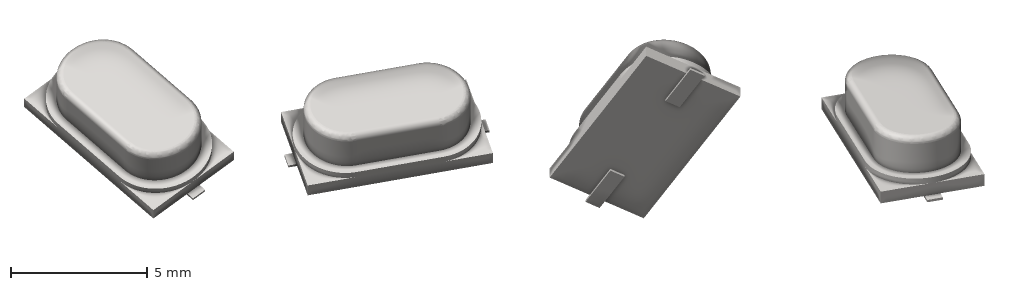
import cadquery as cq

base_length = 7.0
base_width = 4.0
base_height = 0.5

terminal_span = 7.6
terminal_length = 1.8
terminal_width = 0.6
terminal_thickness = 0.1

flange_height = 0.25
flange_straight = 3.3
cap_length = 6.2
cap_width = 3.3
cap_height = 1.5
cap_straight = 3.155
cap_edge_radius = 0.25

base_bottom = terminal_thickness
flange_bottom = base_bottom + base_height
cap_bottom = flange_bottom + flange_height


def oval_prism(length, width, straight, height, bottom):
    """Prism with two straight sides joined at each end by half an ellipse."""
    half_width = width / 2
    half_straight = straight / 2
    end_depth = (length - straight) / 2
    return (
        cq.Workplane("XY", origin=(0, 0, bottom))
        .moveTo(-half_straight, -half_width)
        .lineTo(half_straight, -half_width)
        .ellipseArc(end_depth, half_width, -90, 90, startAtCurrent=True)
        .lineTo(-half_straight, half_width)
        .ellipseArc(end_depth, half_width, 90, 270, startAtCurrent=True)
        .close()
        .extrude(height)
    )


def make_base():
    return cq.Workplane("XY", origin=(0, 0, base_bottom)).box(
        base_length, base_width, base_height, centered=(True, True, False)
    )


def make_can():
    flange = oval_prism(base_length, base_width, flange_straight, flange_height, flange_bottom)
    cap = oval_prism(cap_length, cap_width, cap_straight, cap_height, cap_bottom)
    cap = cap.faces(">Z").edges().fillet(cap_edge_radius)
    return flange.union(cap)


def make_terminal(side):
    """Flat terminal at the -X end (side = -1) or the +X end (side = 1)."""
    center_x = side * (terminal_span - terminal_length) / 2
    return cq.Workplane("XY", origin=(center_x, 0, 0)).box(
        terminal_length, terminal_width, terminal_thickness, centered=(True, True, False)
    )


base = make_base()
can = make_can()
terminals = [make_terminal(side) for side in (-1, 1)]

result = cq.Compound.makeCompound(
    [base.val(), can.val(), *[terminal.val() for terminal in terminals]]
)